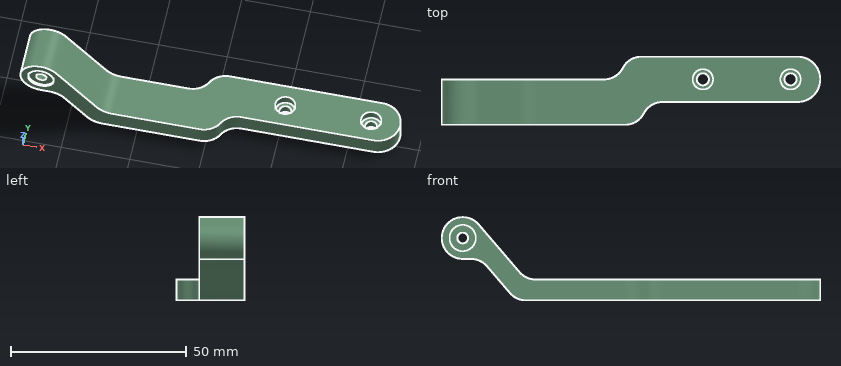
import cadquery as cq
import math

length = 108.0
width = 13.0
jog_offset = 6.5
thickness = 6.0

boss_radius = 6.0
boss_center_x = boss_radius
boss_center_z = 17.81
pin_hole_diameter = 3.0
pin_recess_diameter = 7.5
pin_recess_depth = 0.5

arm_angle = math.radians(49.4)
bend_radius = 6.0

jog_radius = 6.0
front_jog_mid_x = 57.65
back_jog_mid_x = 51.65

screw_hole_diameter = 3.4
screw_head_diameter = 5.8
screw_head_depth = 3.0
screw_hole_xs = (74.5, 99.5)
screw_hole_y = jog_offset + width / 2

full_width = width + jog_offset
height = boss_center_z + boss_radius


def side_profile():
    """Boss, sloped arm and plate as one XZ profile, extruded over the full width."""
    sin_a = math.sin(arm_angle)
    cos_a = math.cos(arm_angle)
    bend_tangent = bend_radius * math.tan(arm_angle / 2)

    tangent_x = boss_center_x + boss_radius * sin_a
    tangent_z = boss_center_z + boss_radius * cos_a
    boss_bottom = boss_center_z - boss_radius

    upper_corner_x = tangent_x + (tangent_z - thickness) / math.tan(arm_angle)
    lower_corner_x = upper_corner_x - thickness * math.tan(arm_angle / 2)
    neck_corner_x = lower_corner_x - boss_bottom / math.tan(arm_angle)

    upper_start = (upper_corner_x - bend_tangent * cos_a, thickness + bend_tangent * sin_a)
    upper_end = (upper_corner_x + bend_tangent, thickness)
    lower_start = (lower_corner_x + bend_tangent, 0)
    lower_end = (lower_corner_x - bend_tangent * cos_a, bend_tangent * sin_a)
    neck_start = (neck_corner_x + bend_tangent * cos_a, boss_bottom - bend_tangent * sin_a)
    neck_end = (neck_corner_x - bend_tangent, boss_bottom)

    return (
        cq.Workplane("XZ")
        .moveTo(tangent_x, tangent_z)
        .lineTo(*upper_start)
        .radiusArc(upper_end, -bend_radius)
        .lineTo(length, thickness)
        .lineTo(length, 0)
        .lineTo(*lower_start)
        .radiusArc(lower_end, bend_radius)
        .lineTo(*neck_start)
        .radiusArc(neck_end, -bend_radius)
        .lineTo(boss_center_x, boss_bottom)
        .threePointArc((0, boss_center_z), (tangent_x, tangent_z))
        .close()
        .extrude(-full_width)
    )


def plan_outline():
    """Jogged outline with a round far end, drawn in XY and extruded over the full height."""
    jog_angle = math.acos(1 - jog_offset / (2 * jog_radius))
    jog_half_length = jog_radius * math.sin(jog_angle)
    half_offset = jog_offset / 2
    end_center_x = length - width / 2

    return (
        cq.Workplane("XY")
        .lineTo(front_jog_mid_x - jog_half_length, 0)
        .radiusArc((front_jog_mid_x, half_offset), -jog_radius)
        .radiusArc((front_jog_mid_x + jog_half_length, jog_offset), jog_radius)
        .lineTo(end_center_x, jog_offset)
        .threePointArc((length, screw_hole_y), (end_center_x, full_width))
        .lineTo(back_jog_mid_x + jog_half_length, full_width)
        .radiusArc((back_jog_mid_x, width + half_offset), -jog_radius)
        .radiusArc((back_jog_mid_x - jog_half_length, width), jog_radius)
        .lineTo(0, width)
        .close()
        .extrude(height)
    )


def screw_holes():
    """Counterbored holes down through the plate."""
    centers = [(x, screw_hole_y) for x in screw_hole_xs]
    shanks = (
        cq.Workplane("XY").pushPoints(centers).circle(screw_hole_diameter / 2).extrude(thickness)
    )
    heads = (
        cq.Workplane("XY", origin=(0, 0, thickness - screw_head_depth))
        .pushPoints(centers)
        .circle(screw_head_diameter / 2)
        .extrude(screw_head_depth)
    )
    return shanks.union(heads)


def pin_hole():
    """Hole along Y through the boss with a recess in its front face."""
    axis = cq.Workplane("XZ", origin=(boss_center_x, 0, boss_center_z))
    bore = axis.circle(pin_hole_diameter / 2).extrude(-width)
    recess = axis.circle(pin_recess_diameter / 2).extrude(-pin_recess_depth)
    return bore.union(recess)


result = side_profile().intersect(plan_outline()).cut(screw_holes()).cut(pin_hole())